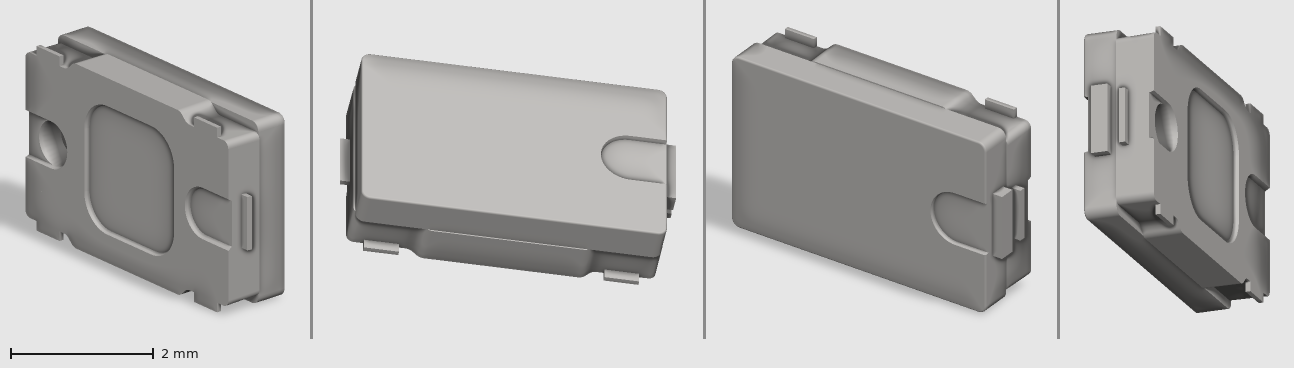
import cadquery as cq
import math


TOTAL_DEPTH = 1.07
BASE_DEPTH = 0.575
FRONT_Y = -TOTAL_DEPTH / 2
JOINT_Y = FRONT_Y + BASE_DEPTH
BACK_Y = TOTAL_DEPTH / 2

BASE_LENGTH = 4.405
BASE_WIDTH = 2.8
BASE_CORNER_RADIUS = 0.105
STEP_DROP = 0.16
STEP_TOP_X = 1.137
STEP_ROUND = 0.145
STEP_DRAFT = 1.4
OVERSHOOT = 0.235
EDGE_REACH = 0.03

SLOT_DEPTH = 0.07
SLOT_END_X = 1.65
HOLE_RADIUS = 0.355
HOLE_BOTTOM_RADIUS = 0.25
WALL_SLOPE = 0.27
HOLE_DEPTH = (HOLE_RADIUS - HOLE_BOTTOM_RADIUS) / WALL_SLOPE
HOLE_DRAFT = math.degrees(math.atan(WALL_SLOPE))
RIGHT_SLOT_RADIUS = 0.39
RIGHT_SLOT_FLOOR_RADIUS = 0.35
BACK_SLOT_RADIUS = 0.42
BACK_SLOT_FLOOR_RADIUS = 0.405
WINDOW_SIZE = 1.95
WINDOW_X = 0.05
WINDOW_CORNER_RADIUS = 0.5
WINDOW_DEPTH = 0.07
WINDOW_INSET = 0.035

COVER_LENGTH = 4.35
COVER_WIDTH = 2.765
COVER_CORNER_RADIUS = 0.13
COVER_EDGE_RADIUS = 0.03
COVER_STUB_END_X = -2.335
COVER_STUB_WIDTH = 1.005
COVER_STUB_DEPTH = 0.25
COVER_STUB_Y = JOINT_Y + 0.075

TERMINAL_X = 1.71
TERMINAL_THICKNESS = 0.07
TERMINAL_WIDTH = 0.5
TERMINAL_BULGE = 0.03
SHOULDER_Z = 1.165
SHOULDER_HEIGHT = 0.04
FOOT_HEIGHT = 0.055
LEFT_FOOT_Z = 0.77
RIGHT_FOOT_Z = 0.74

TAB_WIDTH = 0.81
TAB_END_X = 2.35
LEFT_TAB_Y = FRONT_Y + 0.375
LEFT_TAB_THICKNESS = 0.095
RIGHT_TAB_Y = FRONT_Y + 0.235
RIGHT_TAB_THICKNESS = 0.075
RIGHT_TAB_BEVEL = 0.015


def front_plane(y):
    """Plane at the given Y with +X right, +Z up and its normal towards -Y."""
    return cq.Workplane("XZ", origin=(0, y, 0))


def box_between(x0, x1, y0, y1, width):
    """Box between two X and two Y places, centred on Z = 0."""
    centre = ((x0 + x1) / 2, (y0 + y1) / 2, 0)
    return cq.Workplane("XY").box(abs(x1 - x0), abs(y1 - y0), width).translate(centre)


def end_slot(side, y, depth, radius, floor_radius):
    """Cutter for a slot with a round inner end that runs out of one end (side is -1 or 1).

    A positive depth cuts towards +Y and a negative depth towards -Y.
    """
    inner_x = side * SLOT_END_X
    outer_x = side * (BASE_LENGTH / 2 + OVERSHOOT)
    draft = math.degrees(math.atan((radius - floor_radius) / abs(depth)))
    return (
        front_plane(y)
        .moveTo(outer_x, radius)
        .lineTo(inner_x, radius)
        .threePointArc((inner_x - side * radius, 0), (inner_x, -radius))
        .lineTo(outer_x, -radius)
        .close()
        .extrude(-depth, taper=draft)
    )


def corner_step(x_side, z_side):
    """Cutter for one stepped-back corner: a flat, a 45 degree flank and two rounds."""
    full_z = BASE_WIDTH / 2
    step_z = full_z - STEP_DROP
    outer_x = BASE_LENGTH / 2 + OVERSHOOT
    outline = [
        (STEP_TOP_X - OVERSHOOT, full_z + OVERSHOOT),
        (STEP_TOP_X + STEP_DROP, step_z),
        (outer_x, step_z),
        (outer_x, full_z + OVERSHOOT),
    ]
    points = [(x_side * x, z_side * z) for x, z in outline]
    return front_plane(JOINT_Y).polyline(points).close().extrude(BASE_DEPTH, taper=STEP_DRAFT)


def round_edges_near(body, x, z, radius):
    """Round the depthwise edges of the base close to (+-x, +-z)."""
    for x_side in (-1, 1):
        for z_side in (-1, 1):
            edge_x = x_side * x
            edge_z = z_side * z
            low = (edge_x - EDGE_REACH, FRONT_Y, edge_z - EDGE_REACH)
            high = (edge_x + EDGE_REACH, JOINT_Y, edge_z + EDGE_REACH)
            body = body.edges(cq.selectors.BoxSelector(low, high)).fillet(radius)
    return body


def make_base(inserts):
    """Base with stepped corners, recesses and a matching seat for each insert."""
    base = box_between(-BASE_LENGTH / 2, BASE_LENGTH / 2, FRONT_Y, JOINT_Y, BASE_WIDTH)
    for x_side in (-1, 1):
        for z_side in (-1, 1):
            base = base.cut(corner_step(x_side, z_side))

    step_z = BASE_WIDTH / 2 - STEP_DROP
    base = round_edges_near(base, STEP_TOP_X, BASE_WIDTH / 2, STEP_ROUND)
    base = round_edges_near(base, STEP_TOP_X + STEP_DROP, step_z, STEP_ROUND)
    base = round_edges_near(base, BASE_LENGTH / 2, step_z, BASE_CORNER_RADIUS)

    window_draft = math.degrees(math.atan(WINDOW_INSET / WINDOW_DEPTH))
    window = (
        front_plane(FRONT_Y)
        .center(WINDOW_X, 0)
        .sketch()
        .rect(WINDOW_SIZE, WINDOW_SIZE)
        .vertices()
        .fillet(WINDOW_CORNER_RADIUS)
        .finalize()
        .extrude(-WINDOW_DEPTH, taper=window_draft)
    )
    hole = (
        front_plane(FRONT_Y)
        .center(-SLOT_END_X, 0)
        .circle(HOLE_RADIUS)
        .extrude(-HOLE_DEPTH, taper=HOLE_DRAFT)
    )
    slot_floor_radius = HOLE_RADIUS - WALL_SLOPE * SLOT_DEPTH
    left_slot = end_slot(-1, FRONT_Y, SLOT_DEPTH, HOLE_RADIUS, slot_floor_radius)
    right_slot = end_slot(1, FRONT_Y, SLOT_DEPTH, RIGHT_SLOT_RADIUS, RIGHT_SLOT_FLOOR_RADIUS)

    for cutter in (window, hole, left_slot, right_slot, *inserts):
        base = base.cut(cutter)
    return base


def make_cover():
    """Rounded cover with a stub on its left end and a slot in its back face."""
    cover = (
        box_between(-COVER_LENGTH / 2, COVER_LENGTH / 2, JOINT_Y, BACK_Y, COVER_WIDTH)
        .edges("|Y")
        .fillet(COVER_CORNER_RADIUS)
        .faces(">Y")
        .edges()
        .fillet(COVER_EDGE_RADIUS)
    )
    stub_back_y = COVER_STUB_Y + COVER_STUB_DEPTH
    stub = box_between(COVER_STUB_END_X, -COVER_LENGTH / 2, COVER_STUB_Y, stub_back_y, COVER_STUB_WIDTH)
    slot = end_slot(-1, BACK_Y, -SLOT_DEPTH, BACK_SLOT_RADIUS, BACK_SLOT_FLOOR_RADIUS)
    return cover.union(stub).cut(slot)


def make_terminal(x_side, z_side):
    """Flat terminal that overhangs its step and widens over the face of the base."""
    foot_z = LEFT_FOOT_Z if x_side < 0 else RIGHT_FOOT_Z
    half = TERMINAL_WIDTH / 2
    wide = half + TERMINAL_BULGE
    right_half = [
        (half, BASE_WIDTH / 2),
        (half, SHOULDER_Z),
        (wide, SHOULDER_Z - SHOULDER_HEIGHT),
        (wide, foot_z + FOOT_HEIGHT),
        (half, foot_z),
    ]
    left_half = [(-x, z) for x, z in reversed(right_half)]
    points = [(x_side * TERMINAL_X + x, z_side * z) for x, z in right_half + left_half]
    return front_plane(FRONT_Y).polyline(points).close().extrude(-TERMINAL_THICKNESS)


def make_left_tab():
    """Flat tab against the left end of the base."""
    return box_between(
        -TAB_END_X, -BASE_LENGTH / 2, LEFT_TAB_Y, LEFT_TAB_Y + LEFT_TAB_THICKNESS, TAB_WIDTH
    )


def make_right_tab():
    """Flat tab against the right end of the base, with a bevelled end."""
    back_y = RIGHT_TAB_Y + RIGHT_TAB_THICKNESS
    outline = [
        (BASE_LENGTH / 2, RIGHT_TAB_Y),
        (TAB_END_X - RIGHT_TAB_BEVEL, RIGHT_TAB_Y),
        (TAB_END_X, back_y),
        (BASE_LENGTH / 2, back_y),
    ]
    return cq.Workplane("XY").polyline(outline).close().extrude(TAB_WIDTH / 2, both=True)


terminals = [make_terminal(x_side, z_side) for x_side in (-1, 1) for z_side in (-1, 1)]
base = make_base(terminals)
cover = make_cover()
left_tab = make_left_tab()
right_tab = make_right_tab()

result = cq.Compound.makeCompound(
    [
        base.val(),
        cover.val(),
        left_tab.val(),
        right_tab.val(),
        *[terminal.val() for terminal in terminals],
    ]
)